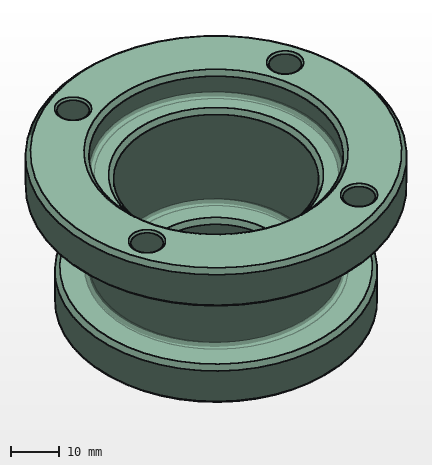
import cadquery as cq

top_flange_diameter = 78.0
bottom_flange_diameter = 66.0
neck_diameter = 52.0
height = 40.0
flange_thickness = 10.0
edge_size = 1.0

recess_diameter = neck_diameter
recess_depth = 6.0
chamber_diameter = 42.0
bore_diameter = 30.0
bore_length = 10.0

hole_count = 4
hole_diameter = 6.6
hole_chamfer = 0.5
hole_circle_diameter = 65.0


def disc(diameter, bottom, top):
    """Upright cylinder on the Z axis between two heights."""
    return cq.Workplane("XY").workplane(offset=bottom).circle(diameter / 2).extrude(top - bottom)


def chamfered_disc(diameter, bottom, top):
    """Disc with both rims chamfered."""
    return disc(diameter, bottom, top).faces("<Z or >Z").edges().chamfer(edge_size)


def flared_cutter(diameter, bottom, top, flare, corner_radius=0):
    """Cylindrical cutter that flares at 45 degrees to the top, with an optional rounded floor corner."""
    radius = diameter / 2
    profile = (
        cq.Workplane("XZ")
        .moveTo(0, bottom)
        .lineTo(radius, bottom)
        .lineTo(radius, top - flare)
        .lineTo(radius + flare, top)
        .lineTo(0, top)
        .close()
    )
    cutter = profile.revolve(360, (0, 0, 0), (0, 1, 0))
    if corner_radius:
        cutter = cutter.faces("<Z").edges().fillet(corner_radius)
    return cutter


top_flange_bottom = height - flange_thickness
body = chamfered_disc(bottom_flange_diameter, 0, flange_thickness)
body = body.union(chamfered_disc(top_flange_diameter, top_flange_bottom, height))
neck = disc(neck_diameter, flange_thickness, top_flange_bottom)
body = body.union(neck)
neck_end_radius = neck_diameter / 2 + edge_size / 2
neck_ends = cq.selectors.BoxSelector(
    (-neck_end_radius, -neck_end_radius, flange_thickness - edge_size / 2),
    (neck_end_radius, neck_end_radius, top_flange_bottom + edge_size / 2),
    boundingbox=True,
)
body = body.edges("%CIRCLE").edges(neck_ends).fillet(edge_size)

recess_floor = height - recess_depth
body = body.cut(flared_cutter(recess_diameter, recess_floor, height, edge_size, edge_size))
body = body.cut(flared_cutter(chamber_diameter, bore_length, recess_floor, edge_size, edge_size))
body = body.cut(flared_cutter(bore_diameter, 0, bore_length, edge_size))

hole = flared_cutter(hole_diameter, top_flange_bottom, height, hole_chamfer)
hole = hole.translate((hole_circle_diameter / 2, 0, 0))
for index in range(hole_count):
    body = body.cut(hole.rotate((0, 0, 0), (0, 0, 1), index * 360 / hole_count))

result = body